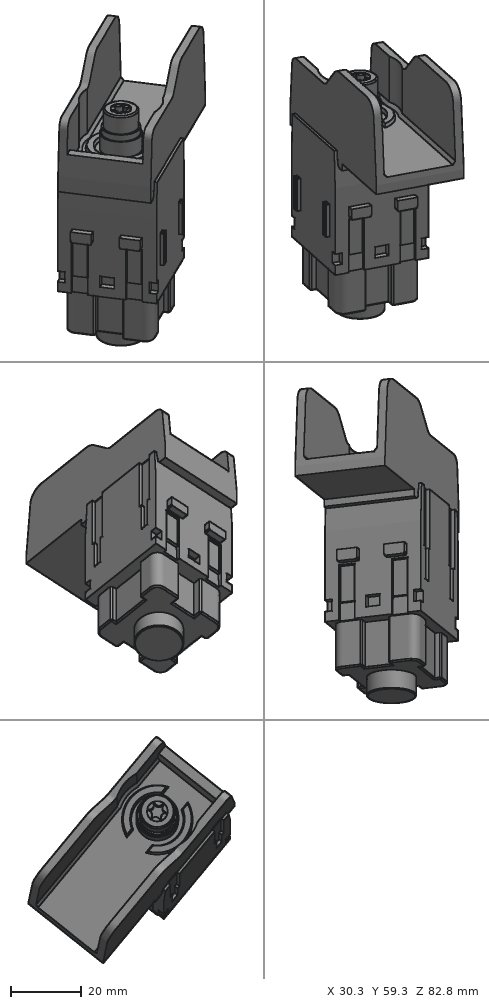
import cadquery as cq
import math


HOUSING_HALF_X = 14.6
HOUSING_HALF_Y = 15.0
HOUSING_TOP = 38.4
DRAFT_START = 27.0
DRAFT_INSET = 0.65

PLUG_HALF_X = 12.85
PLUG_HALF_Y = 13.3
PLUG_HEIGHT = 13.8
PLUG_CORNER_RADIUS = 2.8
PLUG_EDGE_CHAMFER = 0.45
END_CHANNEL_HALF_WIDTH = 4.0
END_CHANNEL_DEPTH = 2.8
SIDE_CHANNEL_HALF_WIDTH = 6.0
SIDE_CHANNEL_DEPTH = 1.9
CHANNEL_BEVEL = 0.5
SPIGOT_RADIUS = 7.05
SPIGOT_BOTTOM = -19.4
SPIGOT_CHAMFER = 0.3

COVER_HALF_X = 13.7
COVER_FRONT_Y = -18.0
COVER_BACK_Y = 41.3
COVER_BOTTOM = 35.6
TAB_BOTTOM = 33.5
TAB_INNER_Y = 14.7
TAB_BACK_Y = 17.9
TAB_RADIUS = 1.5
SLANT_START = HOUSING_TOP
SLANT_ANGLE = 5.0
ARM_LOW_TOP = 55.6
ARM_HIGH_TOP = 63.4
KNEE_LOW_Y = 6.1
LARGE_ARM_RADIUS = 5.0
SMALL_ARM_RADIUS = 3.0

CHANNEL_HALF_X = 11.15
FLOOR_Z = 40.3
FLOOR_BEVEL_WIDTH = 0.85
FLOOR_BEVEL_HEIGHT = 1.1
LIP_TOP = 45.4
LIP_BACK_Y = -14.4
LIP_SLOPE_WIDTH = 0.6
RELIEF_RADIUS = 12.0
RELIEF_FLOOR_RADIUS = 11.0

RIDGE_TOP = 41.4
RIDGE_INNER_RADIUS = 7.4
RIDGE_OUTER_RADIUS = 10.1
RIDGE_DRAFT = 0.4
RIDGE_GAP_HALF = 3.5

BOSS_RADIUS = 6.05
BOSS_TOP = LIP_TOP
COLLAR_RADIUS = 5.6
COLLAR_TOP = 47.4
HEAD_RADIUS = 5.05
HEAD_TOP = 53.1
HEAD_CHAMFER = 0.45
SOCKET_RADIUS = 2.95
SOCKET_RIM_DEPTH = 0.3
SOCKET_DEPTH = 2.5
LOBE_COUNT = 6
LOBE_RADIUS = 1.3

KEYWAY_Y = 10.0
KEYWAY_DEPTH = 1.1
KEYWAY_WIDE = 4.1
KEYWAY_NARROW = 2.4
KEYWAY_STEP_Z = 20.5
KEYWAY_BOTTOM_Z = 10.7
RIB_HEIGHT = KEYWAY_DEPTH
RIB_BOTTOM_Z = 10.5
RIB_SLIT = 0.3

PEG_X = 7.2
PEG_WIDTH = 6.2
PEG_BOTTOM = 17.1
PEG_TOP = 20.5
PEG_LENGTH = 1.95
PEG_BEVEL_WIDTH = 0.25
PEG_BEVEL_HEIGHT = 0.55
NOTCH_BOTTOM = 3.05
NOTCH_TOP = 6.5
POCKET_WIDTH = 4.2
POCKET_DEPTH = 2.0
CORNER_NOTCH_X = 2.15
CORNER_NOTCH_Y = 2.0
LATCH_SLOTS = [(-10.6, -5.7), (5.5, 10.3)]
LATCH_TOP = 16.5
LATCH_STEP_Z = 5.4
LATCH_DEPTH = 0.3
LATCH_GAP = 0.3
LATCH_GAP_DEPTH = 0.6
RAMP_TOP_DEPTH = 1.2
RAMP_BOTTOM_DEPTH = 0.9

CLEARANCE = 1.0


def block(x_range, y_range, z_range):
    """Box given by its limits along each axis."""
    return (
        cq.Workplane("XY")
        .box(
            x_range[1] - x_range[0],
            y_range[1] - y_range[0],
            z_range[1] - z_range[0],
            centered=False,
        )
        .translate((x_range[0], y_range[0], z_range[0]))
    )


def cylinder(radius, bottom, top):
    """Cylinder about the Z axis."""
    return cq.Workplane("XY").workplane(offset=bottom).circle(radius).extrude(top - bottom)


def side_profile(start_x):
    """Start a Y-Z outline at start_x, to be extruded towards +X."""
    return cq.Workplane("YZ").workplane(offset=start_x)


def on_both_ends(shape):
    """Join a feature of the -Y end with its mirror image on the +Y end."""
    return shape.union(shape.mirror("XZ"))


def make_housing():
    top_half_y = HOUSING_HALF_Y - DRAFT_INSET
    return (
        side_profile(-HOUSING_HALF_X)
        .moveTo(-HOUSING_HALF_Y, 0)
        .lineTo(HOUSING_HALF_Y, 0)
        .lineTo(HOUSING_HALF_Y, DRAFT_START)
        .lineTo(top_half_y, HOUSING_TOP)
        .lineTo(-top_half_y, HOUSING_TOP)
        .lineTo(-HOUSING_HALF_Y, DRAFT_START)
        .close()
        .extrude(2 * HOUSING_HALF_X)
    )


def make_plug_channel(half_width, depth, face_distance):
    """Upright channel with bevelled mouth corners, cut into the plug's -Y face."""
    mouth = half_width + CHANNEL_BEVEL
    return (
        cq.Workplane("XY")
        .polyline([
            (-mouth, -face_distance),
            (-half_width, -face_distance + CHANNEL_BEVEL),
            (-half_width, -face_distance + depth),
            (half_width, -face_distance + depth),
            (half_width, -face_distance + CHANNEL_BEVEL),
            (mouth, -face_distance),
        ])
        .close()
        .extrude(-PLUG_HEIGHT)
    )


def make_plug():
    plug = (
        cq.Workplane("XY")
        .rect(2 * PLUG_HALF_X, 2 * PLUG_HALF_Y)
        .extrude(-PLUG_HEIGHT)
        .edges("|Z")
        .fillet(PLUG_CORNER_RADIUS)
    )
    end_channel = make_plug_channel(END_CHANNEL_HALF_WIDTH, END_CHANNEL_DEPTH, PLUG_HALF_Y)
    side_channel = make_plug_channel(SIDE_CHANNEL_HALF_WIDTH, SIDE_CHANNEL_DEPTH, PLUG_HALF_X)
    for angle in (0, 180):
        plug = plug.cut(end_channel.rotate((0, 0, 0), (0, 0, 1), angle))
        plug = plug.cut(side_channel.rotate((0, 0, 0), (0, 0, 1), angle + 90))
    plug = plug.faces("<Z").chamfer(PLUG_EDGE_CHAMFER)
    spigot = cylinder(SPIGOT_RADIUS, SPIGOT_BOTTOM, 0).faces("<Z").chamfer(SPIGOT_CHAMFER)
    return plug.union(spigot)


def slant_shift(z):
    """Inward shift of the slanted end faces of the cover at height z."""
    return (z - SLANT_START) * math.tan(math.radians(SLANT_ANGLE))


def make_cover():
    front_top = (COVER_FRONT_Y + slant_shift(ARM_LOW_TOP), ARM_LOW_TOP)
    back_top = (COVER_BACK_Y - slant_shift(ARM_HIGH_TOP), ARM_HIGH_TOP)
    knee_low = (KNEE_LOW_Y, ARM_LOW_TOP)
    knee_high = (KNEE_LOW_Y + ARM_HIGH_TOP - ARM_LOW_TOP, ARM_HIGH_TOP)
    tab_inner_low = (TAB_INNER_Y, TAB_BOTTOM)
    cover = (
        side_profile(-COVER_HALF_X)
        .polyline([
            (COVER_FRONT_Y, TAB_BOTTOM),
            (COVER_FRONT_Y, SLANT_START),
            front_top,
            knee_low,
            knee_high,
            back_top,
            (COVER_BACK_Y, SLANT_START),
            (COVER_BACK_Y, COVER_BOTTOM),
            (TAB_BACK_Y, COVER_BOTTOM),
            (TAB_BACK_Y, TAB_BOTTOM),
            tab_inner_low,
            (TAB_INNER_Y, COVER_BOTTOM),
            (-TAB_INNER_Y, COVER_BOTTOM),
            (-TAB_INNER_Y, TAB_BOTTOM),
        ])
        .close()
        .extrude(2 * COVER_HALF_X)
    )
    rounded_corners = [
        (front_top, SMALL_ARM_RADIUS),
        (knee_low, SMALL_ARM_RADIUS),
        (knee_high, LARGE_ARM_RADIUS),
        (back_top, LARGE_ARM_RADIUS),
        (tab_inner_low, TAB_RADIUS),
        ((-TAB_INNER_Y, TAB_BOTTOM), TAB_RADIUS),
    ]
    for (y, z), radius in rounded_corners:
        corner = cq.selectors.NearestToPointSelector((0, y, z))
        cover = cover.edges("|X").edges(corner).fillet(radius)
    return cover


def make_channel_cut():
    """Space between the arms: open at the back, closed by a lip at the front."""
    open_top = ARM_HIGH_TOP + CLEARANCE
    open_back = COVER_BACK_Y + CLEARANCE
    bevel_top = FLOOR_Z + FLOOR_BEVEL_HEIGHT
    floor_half_x = CHANNEL_HALF_X - FLOOR_BEVEL_WIDTH
    length = open_back - LIP_BACK_Y
    cross_section = (
        cq.Workplane("XZ", origin=(0, open_back, 0))
        .polyline([
            (-floor_half_x, FLOOR_Z),
            (floor_half_x, FLOOR_Z),
            (CHANNEL_HALF_X, bevel_top),
            (CHANNEL_HALF_X, open_top),
            (-CHANNEL_HALF_X, open_top),
            (-CHANNEL_HALF_X, bevel_top),
        ])
        .close()
        .extrude(length)
    )
    lip_slope = (
        side_profile(-CHANNEL_HALF_X)
        .polyline([
            (LIP_BACK_Y, FLOOR_Z),
            (LIP_BACK_Y + LIP_SLOPE_WIDTH, FLOOR_Z),
            (LIP_BACK_Y, LIP_TOP),
        ])
        .close()
        .extrude(2 * CHANNEL_HALF_X)
    )
    above_lip = block(
        (-CHANNEL_HALF_X, CHANNEL_HALF_X),
        (COVER_FRONT_Y - CLEARANCE, LIP_BACK_Y),
        (LIP_TOP, open_top),
    )
    arm_relief = (
        cq.Workplane("XZ")
        .polyline([
            (0, FLOOR_Z),
            (RELIEF_FLOOR_RADIUS, FLOOR_Z),
            (RELIEF_RADIUS, bevel_top),
            (RELIEF_RADIUS, open_top),
            (0, open_top),
        ])
        .close()
        .revolve(360, (0, 0, 0), (0, 1, 0))
    )
    return cross_section.cut(lip_slope).union(above_lip).union(arm_relief)


def make_ridges():
    """Two drafted arc ridges either side of the screw."""
    ring = (
        cq.Workplane("XZ")
        .polyline([
            (RIDGE_INNER_RADIUS, FLOOR_Z),
            (RIDGE_OUTER_RADIUS, FLOOR_Z),
            (RIDGE_OUTER_RADIUS - RIDGE_DRAFT, RIDGE_TOP),
            (RIDGE_INNER_RADIUS + RIDGE_DRAFT, RIDGE_TOP),
        ])
        .close()
        .revolve(360, (0, 0, 0), (0, 1, 0))
    )
    gap_top_half = RIDGE_GAP_HALF + RIDGE_DRAFT
    gap = (
        cq.Workplane("XZ")
        .polyline([
            (-RIDGE_GAP_HALF, FLOOR_Z),
            (RIDGE_GAP_HALF, FLOOR_Z),
            (gap_top_half, RIDGE_TOP),
            (-gap_top_half, RIDGE_TOP),
        ])
        .close()
        .extrude(RIDGE_OUTER_RADIUS + CLEARANCE, both=True)
    )
    return ring.cut(gap)


def make_socket():
    """Six-lobed driver recess with a shallow round rim."""
    star = cylinder(SOCKET_RADIUS, HEAD_TOP - SOCKET_DEPTH, HEAD_TOP)
    lobes = (
        cq.Workplane("XY")
        .workplane(offset=HEAD_TOP - SOCKET_DEPTH)
        .polarArray(SOCKET_RADIUS, 0, 360, LOBE_COUNT)
        .circle(LOBE_RADIUS)
        .extrude(SOCKET_DEPTH)
    )
    rim = cylinder(SOCKET_RADIUS, HEAD_TOP - SOCKET_RIM_DEPTH, HEAD_TOP)
    return star.cut(lobes).union(rim)


def make_screw():
    boss = cylinder(BOSS_RADIUS, HOUSING_TOP, BOSS_TOP)
    collar = cylinder(COLLAR_RADIUS, HOUSING_TOP, COLLAR_TOP)
    head = cylinder(HEAD_RADIUS, HOUSING_TOP, HEAD_TOP).faces(">Z").chamfer(HEAD_CHAMFER)
    return boss.union(collar).union(head).cut(make_socket())


def make_keyway(y):
    """Stepped keyway in the -X face, open towards the top of the housing."""
    x_range = (-HOUSING_HALF_X, -HOUSING_HALF_X + KEYWAY_DEPTH)
    half_wide = KEYWAY_WIDE / 2
    half_narrow = KEYWAY_NARROW / 2
    wide = block(x_range, (y - half_wide, y + half_wide), (KEYWAY_STEP_Z, HOUSING_TOP))
    narrow = block(x_range, (y - half_narrow, y + half_narrow), (KEYWAY_BOTTOM_Z, KEYWAY_STEP_Z))
    return wide.union(narrow)


def make_rib(y):
    """Split rib on the +X face that fits the narrow part of a keyway."""
    outer_x = HOUSING_HALF_X + RIB_HEIGHT
    half_width = KEYWAY_NARROW / 2
    z_range = (RIB_BOTTOM_Z, KEYWAY_STEP_Z)
    rib = block((HOUSING_HALF_X - CLEARANCE, outer_x), (y - half_width, y + half_width), z_range)
    slit = block((HOUSING_HALF_X, outer_x), (y - RIB_SLIT / 2, y + RIB_SLIT / 2), z_range)
    return rib.cut(slit)


def make_pegs():
    """Two pegs per end face, their lower long corners bevelled."""
    bevel_top = PEG_BOTTOM + PEG_BEVEL_HEIGHT
    half_top = PEG_WIDTH / 2
    half_bottom = half_top - PEG_BEVEL_WIDTH
    peg = (
        cq.Workplane("XZ", origin=(0, -HOUSING_HALF_Y + CLEARANCE, 0))
        .polyline([
            (-half_bottom, PEG_BOTTOM),
            (half_bottom, PEG_BOTTOM),
            (half_top, bevel_top),
            (half_top, PEG_TOP),
            (-half_top, PEG_TOP),
            (-half_top, bevel_top),
        ])
        .close()
        .extrude(PEG_LENGTH + CLEARANCE)
    )
    pair = peg.translate((-PEG_X, 0, 0)).union(peg.translate((PEG_X, 0, 0)))
    return on_both_ends(pair)


def make_end_notches():
    """Central pocket and two corner notches of each end face."""
    z_range = (NOTCH_BOTTOM, NOTCH_TOP)
    notches = block(
        (-POCKET_WIDTH / 2, POCKET_WIDTH / 2),
        (-HOUSING_HALF_Y, -HOUSING_HALF_Y + POCKET_DEPTH),
        z_range,
    )
    inner_x = HOUSING_HALF_X - CORNER_NOTCH_X
    for x_range in ((-HOUSING_HALF_X, -inner_x), (inner_x, HOUSING_HALF_X)):
        y_range = (-HOUSING_HALF_Y, -HOUSING_HALF_Y + CORNER_NOTCH_Y)
        notches = notches.union(block(x_range, y_range, z_range))
    return on_both_ends(notches)


def make_latch_slot(left, right):
    """Shallow slot with a thin gap along its top and sides and a deeper ramp at its foot."""
    face_y = -HOUSING_HALF_Y
    gap_frame = block((left, right), (face_y, face_y + LATCH_GAP_DEPTH), (LATCH_STEP_Z, LATCH_TOP))
    tongue = block(
        (left + LATCH_GAP, right - LATCH_GAP),
        (face_y + LATCH_DEPTH, face_y + LATCH_GAP_DEPTH),
        (LATCH_STEP_Z, LATCH_TOP - LATCH_GAP),
    )
    ramp = (
        side_profile(left)
        .polyline([
            (face_y, 0),
            (face_y + RAMP_BOTTOM_DEPTH, 0),
            (face_y + RAMP_TOP_DEPTH, LATCH_STEP_Z),
            (face_y, LATCH_STEP_Z),
        ])
        .close()
        .extrude(right - left)
    )
    return gap_frame.cut(tongue).union(ramp)


def make_latch_slots():
    slots = cq.Workplane("XY")
    for left, right in LATCH_SLOTS:
        slots = slots.union(make_latch_slot(left, right))
    return on_both_ends(slots)


housing = make_housing().cut(make_end_notches()).cut(make_latch_slots())
housing = housing.union(make_pegs())

cover = make_cover().cut(make_channel_cut()).union(make_ridges())

result = housing.union(make_plug()).union(cover).union(make_screw())
for keyway_y in (-KEYWAY_Y, KEYWAY_Y):
    result = result.cut(make_keyway(keyway_y)).union(make_rib(keyway_y))